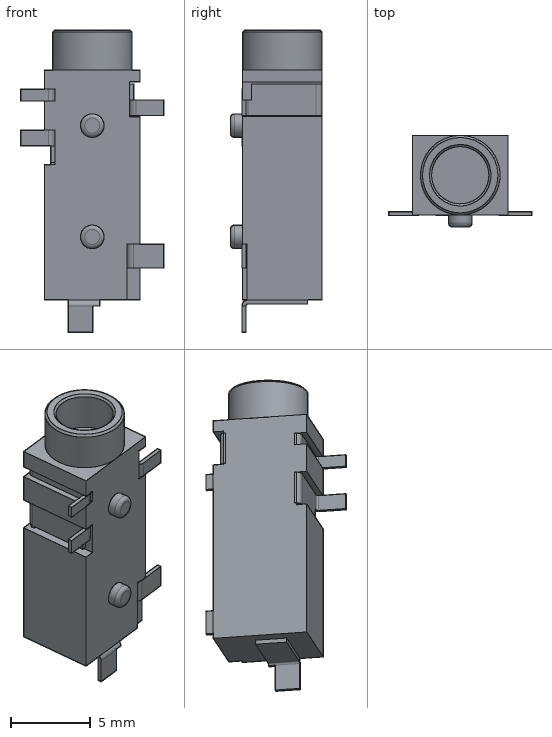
import cadquery as cq
import math


housing_width = 6.0
housing_depth = 5.02
housing_height = 14.44
slot_depth = 0.65
slot_floor = housing_width / 2 - slot_depth

collar_diameter = 5.0
collar_height = 2.5
bore_diameter = 3.6
bore_depth = collar_height
rim_chamfer = 0.13

peg_diameter = 1.48
peg_length = 0.76
peg_tip_radius = 0.27
lower_peg_height = 3.95
peg_spacing = 7.0

sheet = 0.27
bend_radius = 0.4
inner_radius = bend_radius - sheet
stand_off = 0.04
foot_reach = 8.99 / 2
leg_front = 0.57
bend_middle = math.sqrt(0.5)

left_upper_bottom = 12.48
left_upper_top = 13.25

left_slot_bottom = 8.5
left_slot_top = 10.65
left_lower_foot_bottom = 9.67
left_lower_leg_bottom = 8.63
left_tab_inset = 0.28

right_slot_bottom = 11.51
right_slot_top = 13.7
right_upper_foot_bottom = 11.57
right_upper_foot_top = 12.55
right_upper_leg_top = 13.57

notch_width = 0.82
notch_depth = 0.28
right_lower_bottom = 2.0
right_lower_top = 3.5

tail_length = 2.05
tail_left = -1.52
tail_width = 1.55
plate_width = 2.0
plate_length = 4.15


def box(x_range, y_range, z_range):
    """Axis-aligned block between pairs of limits."""
    sizes = [high - low for low, high in (x_range, y_range, z_range)]
    corner = (x_range[0], y_range[0], z_range[0])
    return cq.Workplane("XY").box(*sizes, centered=False).translate(corner)


def bent_strip(plane, corner, foot_end, leg_end):
    """L-shaped sheet outline whose outer faces meet, unrounded, at corner.

    The foot runs along the plane's first axis to foot_end, the leg along its second axis to leg_end.
    """
    u, v = corner
    bend_u = u + bend_radius
    bend_v = v + bend_radius
    return (
        cq.Workplane(plane)
        .moveTo(foot_end, v)
        .lineTo(bend_u, v)
        .threePointArc((bend_u - bend_radius * bend_middle, bend_v - bend_radius * bend_middle), (u, bend_v))
        .lineTo(u, leg_end)
        .lineTo(u + sheet, leg_end)
        .lineTo(u + sheet, bend_v)
        .threePointArc(
            (bend_u - inner_radius * bend_middle, bend_v - inner_radius * bend_middle), (bend_u, v + sheet)
        )
        .lineTo(foot_end, v + sheet)
        .close()
    )


def side_foot(corner_x, leg_end, bottom, top):
    """Right-hand foot with its bend at the front of the housing."""
    strip = bent_strip("XY", (corner_x, -stand_off), foot_reach, leg_end)
    return strip.extrude(top - bottom).translate((0, 0, bottom))


def side_leg(bottom, top):
    """Right-hand leg along the slot floor, curling into the housing at the back."""
    outer_x = slot_floor + sheet
    bend_x = outer_x - bend_radius
    bend_y = housing_depth - bend_radius
    return (
        cq.Workplane("XY")
        .moveTo(slot_floor, leg_front)
        .lineTo(outer_x, leg_front)
        .lineTo(outer_x, bend_y)
        .threePointArc(
            (bend_x + bend_radius * bend_middle, bend_y + bend_radius * bend_middle), (bend_x, housing_depth)
        )
        .lineTo(bend_x, housing_depth - sheet)
        .threePointArc(
            (bend_x + inner_radius * bend_middle, bend_y + inner_radius * bend_middle), (slot_floor, bend_y)
        )
        .close()
        .extrude(top - bottom)
        .translate((0, 0, bottom))
    )


def slot_terminal(foot_bottom, foot_top, leg_bottom, leg_top):
    """Right-hand terminal that lies in a side slot."""
    foot = side_foot(slot_floor, leg_front, foot_bottom, foot_top)
    return foot.union(side_leg(leg_bottom, leg_top))


left_upper_terminal = slot_terminal(
    left_upper_bottom, left_upper_top, left_upper_bottom, left_upper_top
).mirror("YZ")

left_tab = box(
    (slot_floor, slot_floor + sheet),
    (housing_depth - left_tab_inset - sheet, housing_depth - left_tab_inset),
    (left_slot_bottom, left_lower_leg_bottom),
)
left_lower_terminal = (
    slot_terminal(left_lower_foot_bottom, left_slot_top, left_lower_leg_bottom, left_slot_top)
    .union(left_tab)
    .mirror("YZ")
)

right_upper_terminal = slot_terminal(
    right_upper_foot_bottom, right_upper_foot_top, right_upper_foot_bottom, right_upper_leg_top
)

right_lower_terminal = side_foot(
    housing_width / 2 - notch_width, leg_front, right_lower_bottom, right_lower_top
)


def build_bottom_terminal():
    """Plate under the housing, bent down into a narrower tail at the front."""
    outline = bent_strip("XY", (0, 0), tail_length, plate_length)
    strip = outline.extrude(plate_width)
    strip = strip.rotate((0, 0, 0), (0, 1, 0), 90).translate((tail_left, -stand_off, 0))
    spare = box(
        (tail_left + tail_width, tail_left + plate_width), (-stand_off, sheet), (-tail_length, -bend_radius)
    )
    return strip.cut(spare)


bottom_terminal = build_bottom_terminal()
terminals = [
    left_upper_terminal,
    left_lower_terminal,
    right_upper_terminal,
    right_lower_terminal,
    bottom_terminal,
]


def build_collar():
    """Round collar on top of the housing."""
    return (
        cq.Workplane("XY", origin=(0, housing_depth / 2, housing_height))
        .circle(collar_diameter / 2)
        .extrude(collar_height)
        .faces(">Z")
        .chamfer(rim_chamfer)
    )


def build_bore():
    """Blind socket bore with a countersunk mouth."""
    rim_height = housing_height + collar_height
    bore = (
        cq.Workplane("XY", origin=(0, housing_depth / 2, rim_height))
        .circle(bore_diameter / 2)
        .extrude(-bore_depth)
    )
    mouth = cq.Solid.makeCone(
        bore_diameter / 2,
        bore_diameter / 2 + rim_chamfer,
        rim_chamfer,
        pnt=cq.Vector(0, housing_depth / 2, rim_height - rim_chamfer),
    )
    return bore.union(cq.Workplane(mouth))


def build_peg(height):
    """Peg with a rounded tip on the front face."""
    return (
        cq.Workplane("XZ", origin=(0, 0, height))
        .circle(peg_diameter / 2)
        .extrude(peg_length)
        .faces("<Y")
        .edges()
        .fillet(peg_tip_radius)
    )


def build_housing():
    """Housing with its collar, bore, pegs, side slots and terminal recesses."""
    half_width = housing_width / 2
    full_depth = (0, housing_depth)
    left_slot = (-half_width, -slot_floor)
    right_slot = (slot_floor, half_width)
    corner = (half_width - notch_width, half_width)

    body = box((-half_width, half_width), full_depth, (0, housing_height))
    body = body.union(build_collar()).cut(build_bore())
    for height in (lower_peg_height, lower_peg_height + peg_spacing):
        body = body.union(build_peg(height))

    body = body.cut(box(left_slot, full_depth, (left_upper_bottom, left_upper_top)))
    body = body.cut(box(left_slot, full_depth, (left_slot_bottom, left_slot_top)))
    body = body.cut(box(right_slot, full_depth, (right_slot_bottom, right_slot_top)))
    body = body.cut(box(corner, (0, notch_depth), (0, right_lower_top)))
    for terminal in terminals:
        body = body.cut(terminal)
    return body


housing = build_housing()

result = cq.Compound.makeCompound([housing.val(), *[terminal.val() for terminal in terminals]])